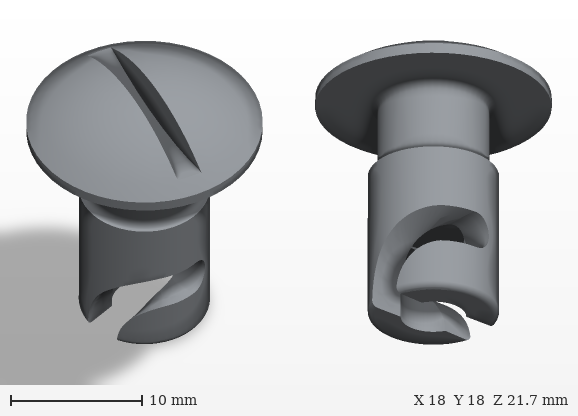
import cadquery as cq
import math

HEAD_RADIUS = 9.0
HEAD_BOTTOM = 17.95
RIM_TOP = 18.78
CROWN_TOP = 21.78
CROWN_RADIUS = (HEAD_RADIUS**2 + (CROWN_TOP - RIM_TOP) ** 2) / (2 * (CROWN_TOP - RIM_TOP))
DRIVER_WIDTH = 2.0
DRIVER_LENGTH = 15.57
DRIVER_FLOOR_RADIUS = 31.0

NECK_RADIUS = 4.25
NECK_FILLET = 0.5
BODY_RADIUS = 5.0
BODY_TOP = 12.0
FOOT_FILLET = 0.5

BORE_RADIUS = 2.5
BORE_DEPTH = 7.0

SLOT_WIDTH = 3.0
SLOT_COUNT = 2
PATH_RADIUS = 5.5
PATH_START = -5.0
OUTER_ARC_CENTRE = -5.3
OUTER_SEAT = 23.4
INNER_ARC_CENTRE = 54.0
INNER_SEAT = 23.0
WALL_STATIONS = 16
OUTWARD_REACH = 0.5
INWARD_REACH = 0.1


def turned_blank():
    """Head, neck and body as one revolved profile."""
    half_angle = math.asin(HEAD_RADIUS / CROWN_RADIUS) / 2
    crown_middle = (
        CROWN_RADIUS * math.sin(half_angle),
        CROWN_TOP - CROWN_RADIUS * (1 - math.cos(half_angle)),
    )
    fillet_middle = NECK_FILLET * (1 - math.sqrt(0.5))
    foot_middle = FOOT_FILLET * (1 - math.sqrt(0.5))
    profile = (
        cq.Workplane("XZ")
        .lineTo(BODY_RADIUS - FOOT_FILLET, 0)
        .threePointArc((BODY_RADIUS - foot_middle, foot_middle), (BODY_RADIUS, FOOT_FILLET))
        .lineTo(BODY_RADIUS, BODY_TOP)
        .lineTo(NECK_RADIUS + NECK_FILLET, BODY_TOP)
        .threePointArc(
            (NECK_RADIUS + fillet_middle, BODY_TOP + fillet_middle),
            (NECK_RADIUS, BODY_TOP + NECK_FILLET),
        )
        .lineTo(NECK_RADIUS, HEAD_BOTTOM - NECK_FILLET)
        .threePointArc(
            (NECK_RADIUS + fillet_middle, HEAD_BOTTOM - fillet_middle),
            (NECK_RADIUS + NECK_FILLET, HEAD_BOTTOM),
        )
        .lineTo(HEAD_RADIUS, HEAD_BOTTOM)
        .lineTo(HEAD_RADIUS, RIM_TOP)
        .threePointArc(crown_middle, (0, CROWN_TOP))
        .close()
    )
    return profile.revolve(360, (0, 0), (0, 1))


def sagitta(radius, chord):
    """Height of an arc above its chord."""
    return radius - math.sqrt(radius**2 - chord**2 / 4)


def driver_slot():
    """Slot across the crown along X, cut by a disc standing on its edge."""
    floor_end = CROWN_TOP - sagitta(CROWN_RADIUS, DRIVER_LENGTH)
    floor_middle = floor_end - sagitta(DRIVER_FLOOR_RADIUS, DRIVER_LENGTH)
    disc = cq.Workplane("XZ").center(0, floor_middle + DRIVER_FLOOR_RADIUS).circle(DRIVER_FLOOR_RADIUS)
    return disc.extrude(DRIVER_WIDTH / 2, both=True)


def wrapped(radius, girth, height):
    """Point on a cylinder about Z, at an arc length round it and a height."""
    angle = girth / radius
    return cq.Vector(radius * math.cos(angle), radius * math.sin(angle), height)


def path_point(radius, arc_centre, seat, fraction, offset):
    """Point beside the slot path on one cylinder; fraction runs from 0 at the foot to 1 at the seat."""
    centre_girth = radius * math.radians(arc_centre)
    seat_girth = radius * math.radians(seat)
    start = math.radians(PATH_START)
    level_run = max(0.0, seat_girth - centre_girth)
    early_stop = max(0.0, centre_girth - seat_girth)
    arc_end = math.acos(early_stop / PATH_RADIUS)
    arc_length = PATH_RADIUS * (arc_end - start)
    travelled = fraction * (arc_length + level_run)
    turn = start + min(travelled, arc_length) / PATH_RADIUS
    level = max(0.0, travelled - arc_length)
    reach = PATH_RADIUS + offset
    return wrapped(radius, centre_girth + level - reach * math.cos(turn), reach * math.sin(turn))


def wall_line(fraction, offset):
    """Ends of the straight line across the slot wall, run past the bore and past the body."""
    inner = path_point(BORE_RADIUS, INNER_ARC_CENTRE, INNER_SEAT, fraction, offset)
    outer = path_point(BODY_RADIUS, OUTER_ARC_CENTRE, OUTER_SEAT, fraction, offset)
    depth = outer - inner
    return inner - depth * INWARD_REACH, outer + depth * OUTWARD_REACH


def slot_channel():
    """Curved part of a cam slot, bounded by ruled walls."""
    fractions = [i / WALL_STATIONS for i in range(WALL_STATIONS + 1)]
    half = SLOT_WIDTH / 2
    above = [wall_line(f, half) for f in fractions]
    below = [wall_line(f, -half) for f in fractions]
    corners = [
        [line[0] for line in above],
        [line[1] for line in above],
        [line[1] for line in below],
        [line[0] for line in below],
    ]
    long_edges = [cq.Edge.makeSpline(points, parameters=fractions) for points in corners]
    faces = [
        cq.Face.makeRuledSurface(long_edges[i - 1], long_edges[i]) for i in range(len(long_edges))
    ]
    for end in (0, -1):
        inner_above, outer_above, outer_below, inner_below = [points[end] for points in corners]
        upper_side = cq.Edge.makeLine(inner_above, outer_above)
        lower_side = cq.Edge.makeLine(inner_below, outer_below)
        faces.append(cq.Face.makeRuledSurface(upper_side, lower_side))
    return cq.Solid.makeSolid(cq.Shell.makeShell(faces)).fix()


def slot_seat():
    """Round end of a cam slot."""
    inner, outer = wall_line(1.0, 0.0)
    axis = outer - inner
    return cq.Solid.makeCylinder(SLOT_WIDTH / 2, axis.Length, inner, axis)


result = turned_blank().cut(driver_slot())
result = result.cut(cq.Workplane("XY").circle(BORE_RADIUS).extrude(BORE_DEPTH))
for i in range(SLOT_COUNT):
    for cutter in (slot_channel(), slot_seat()):
        turned = cutter.rotate(cq.Vector(), cq.Vector(0, 0, 1), i * 360 / SLOT_COUNT)
        result = result.cut(cq.Workplane(turned))